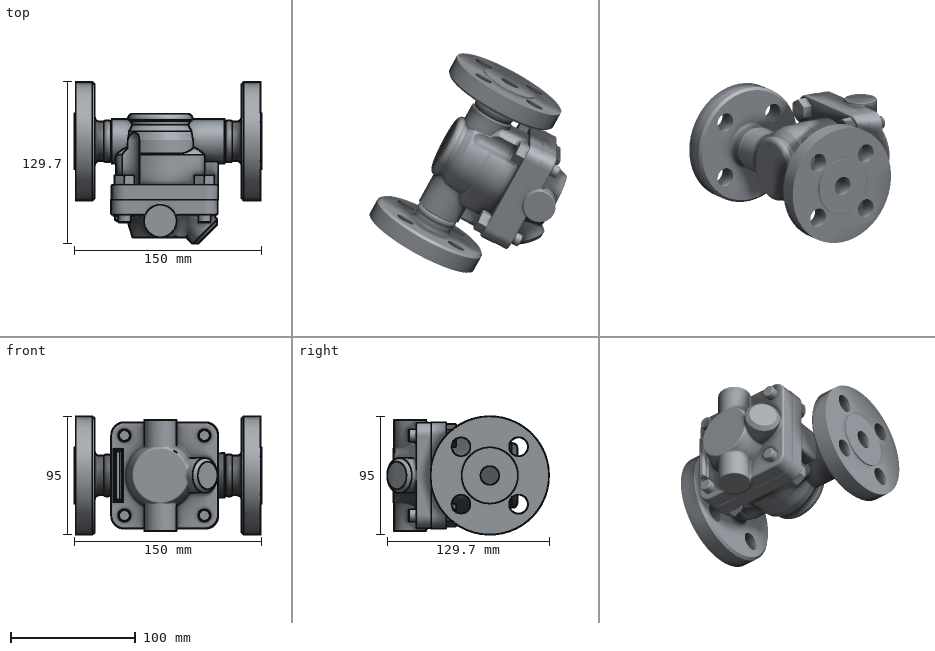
import math

import cadquery as cq


face_to_face = 150.0
flange_dia = 95.0
raised_face_dia = 45.0
raised_face_height = 1.0
flange_back_x = 58.6
flange_chamfer = 2.0
flange_bolt_circle = 65.0
flange_bolt_hole_dia = 15.0
flange_bolt_count = 4
neck_radius = 16.0
neck_fillet = 3.3
weld_start_x = 51.5
weld_end_x = 46.0
weld_crown = 1.0
pipe_radius = 18.0
pipe_end_x = 45.0
bore_dia = 15.0
bore_depth = 30.0

axis_x = -6.25
cap_top_y = 22.2
cap_radius = 26.0
cap_rounding = 4.4
cap_bottom_y = 17.4
waist_radius = 25.4
waist_top_y = 16.0
waist_bottom_y = 13.4
barrel_mid_radius = 30.0
barrel_mid_y = 7.9
barrel_radius = 31.8
barrel_bottom_y = 1.1
shoulder_y = -4.6
shoulder_drop = 6.0
shoulder_width = 5.0
chest_radius = 32.5
chest_half_width = 35.6
chest_corner_radius = 10.0
chest_flat_half_height = 12.0

square_size = 85.5
cover_height = 84.8
square_corner = 10.5
body_flange_x = -2.6
cover_x = -3.0
body_flange_top_y = -34.8
joint_y = -46.9
cover_front_y = -58.9
body_edge_fillet = 1.2
cover_edge_fillet = 1.5
bolt_spacing = 64.0
bolt_dia = 10.0
bolt_tip_y = -65.2
bolt_tip_chamfer = 0.7
bolt_head_flats = 16.0
bolt_head_top_y = -27.0
bolt_head_chamfer = 0.7

groove_radius = 8.0
groove_x = -30.9
groove_z = 26.2
groove_top_y = 9.4

lug_half_height = 14.0
lug_top_y = -16.5
lug_corner = 3.3
lug_top_fillet = 1.0

bonnet_front_y = -77.1
bonnet_front_radius = 22.3
bonnet_base_radius = 28.2
boss_radius = 13.0
boss_y = -63.8
boss_height = 89.2
boss_edge_fillet = 0.7
strainer_radius = 14.0
strainer_tip_radius = 11.0
strainer_tip_x = 31.6
strainer_tip_y = -74.43
strainer_length = 30.0
root_fillet = 1.4
select_margin = 0.3
rib_x = -40.0
rib_width = 5.4
rib_length = 40.5
rib_front_y = -64.0
rib_chamfer = 1.3
rib_foot_width = 8.2
rib_foot_length = 42.5
rib_foot_front_y = -60.4


def y_plane(x, y, z=0.0):
    """Sketch plane at height y: local X is part X, local Y is part Z, normal is -Y."""
    return cq.Workplane("XZ", origin=(x, y, z))


def pipe_end():
    """One half of the pipe run with its weld bead and flange, on the +X side."""
    flange_radius = flange_dia / 2
    face_x = face_to_face / 2
    seat_x = face_x - raised_face_height
    diagonal = neck_fillet * (1 - math.sqrt(0.5))
    half = (
        cq.Workplane("XY")
        .moveTo(0, 0)
        .lineTo(0, pipe_radius)
        .lineTo(pipe_end_x, pipe_radius)
        .lineTo(weld_end_x, neck_radius)
        .threePointArc(
            ((weld_start_x + weld_end_x) / 2, neck_radius + weld_crown),
            (weld_start_x, neck_radius),
        )
        .lineTo(flange_back_x - neck_fillet, neck_radius)
        .threePointArc(
            (flange_back_x - diagonal, neck_radius + diagonal),
            (flange_back_x, neck_radius + neck_fillet),
        )
        .lineTo(flange_back_x, flange_radius - flange_chamfer)
        .lineTo(flange_back_x + flange_chamfer, flange_radius)
        .lineTo(seat_x, flange_radius)
        .lineTo(seat_x, raised_face_dia / 2)
        .lineTo(face_x, raised_face_dia / 2)
        .lineTo(face_x, 0)
        .close()
        .revolve(360, (0, 0, 0), (1, 0, 0))
    )
    holes = (
        cq.Workplane("YZ", origin=(flange_back_x, 0, 0))
        .polarArray(flange_bolt_circle / 2, 180 / flange_bolt_count, 360, flange_bolt_count)
        .circle(flange_bolt_hole_dia / 2)
        .extrude(face_x - flange_back_x)
    )
    return half.cut(holes)


def bore():
    """Blind bore entering from the +X end."""
    start = face_to_face / 2 - bore_depth
    return cq.Workplane("YZ", origin=(start, 0, 0)).circle(bore_dia / 2).extrude(bore_depth)


def barrel():
    """Turned upper body: rounded cap, waist and widening barrel."""
    bulge = cap_rounding * math.sqrt(0.5)
    arc_x = cap_radius - cap_rounding
    arc_y = cap_top_y - cap_rounding
    return (
        cq.Workplane("XY", origin=(axis_x, 0, 0))
        .moveTo(0, cap_top_y)
        .lineTo(arc_x, cap_top_y)
        .threePointArc((arc_x + bulge, arc_y + bulge), (cap_radius, arc_y))
        .lineTo(cap_radius, cap_bottom_y)
        .lineTo(waist_radius, waist_top_y)
        .lineTo(waist_radius, waist_bottom_y)
        .lineTo(barrel_mid_radius, barrel_mid_y)
        .lineTo(barrel_radius, barrel_bottom_y)
        .lineTo(barrel_radius, body_flange_top_y)
        .lineTo(0, body_flange_top_y)
        .close()
        .revolve(360, (0, 0, 0), (0, 1, 0))
    )


def chest():
    """Lower body: a round section with flat sides, joined by tangent lines and corner arcs."""
    corner_x = chest_half_width - chest_corner_radius
    corner_z = chest_flat_half_height
    reach = math.hypot(corner_x, corner_z)
    tilt = math.asin((chest_radius - chest_corner_radius) / reach) - math.atan2(corner_z, corner_x)
    nx = math.sin(tilt)
    nz = math.cos(tilt)
    mid = (math.pi / 2 - tilt) / 2
    arc_mid_x = corner_x + chest_corner_radius * math.cos(mid)
    arc_mid_z = corner_z + chest_corner_radius * math.sin(mid)
    arc_end_x = corner_x + chest_corner_radius * nx
    arc_end_z = corner_z + chest_corner_radius * nz
    crown_x = chest_radius * nx
    crown_z = chest_radius * nz
    section = (
        y_plane(axis_x, shoulder_y)
        .moveTo(chest_half_width, -corner_z)
        .lineTo(chest_half_width, corner_z)
        .threePointArc((arc_mid_x, arc_mid_z), (arc_end_x, arc_end_z))
        .lineTo(crown_x, crown_z)
        .threePointArc((0, chest_radius), (-crown_x, crown_z))
        .lineTo(-arc_end_x, arc_end_z)
        .threePointArc((-arc_mid_x, arc_mid_z), (-chest_half_width, corner_z))
        .lineTo(-chest_half_width, -corner_z)
        .threePointArc((-arc_mid_x, -arc_mid_z), (-arc_end_x, -arc_end_z))
        .lineTo(-crown_x, -crown_z)
        .threePointArc((0, -chest_radius), (crown_x, -crown_z))
        .lineTo(arc_end_x, -arc_end_z)
        .threePointArc((arc_mid_x, -arc_mid_z), (chest_half_width, -corner_z))
        .close()
    )
    return (
        section.extrude(shoulder_y - body_flange_top_y)
        .faces(">Y")
        .chamfer(shoulder_drop, shoulder_width)
    )


def bolt_groove(side):
    """Round-ended groove that clears a bolt on the inlet side; side is +1 or -1 in Z."""
    length = groove_top_y - groove_radius - body_flange_top_y
    cutter = y_plane(groove_x, groove_top_y - groove_radius, side * groove_z)
    return (
        cutter.circle(groove_radius)
        .extrude(length)
        .union(cutter.sphere(groove_radius))
    )


def outlet_lug():
    """Block filling the space between the body flange and the outlet pipe."""
    right_x = body_flange_x + square_size / 2
    length_x = right_x - axis_x
    return (
        y_plane(right_x - length_x / 2, lug_top_y)
        .rect(length_x, 2 * lug_half_height)
        .extrude(lug_top_y - body_flange_top_y)
        .edges("|Y and >X")
        .fillet(lug_corner)
        .faces(">Y")
        .edges()
        .fillet(lug_top_fillet)
    )


def square_plate(center_x, height, back_y, front_y):
    """Rounded plate of the given Z height between two Y levels."""
    return (
        y_plane(center_x, back_y)
        .rect(square_size, height)
        .extrude(back_y - front_y)
        .edges("|Y")
        .fillet(square_corner)
    )


def bolt(x, z):
    """Hexagon-head bolt with the head on the body side and the tip through the cover."""
    head_corner_dia = bolt_head_flats / math.cos(math.pi / 6)
    head_height = bolt_head_top_y - body_flange_top_y
    head = y_plane(x, bolt_head_top_y, z).transformed(rotate=(0, 0, 90))
    head = head.polygon(6, head_corner_dia).extrude(head_height)
    crown = (
        y_plane(x, bolt_head_top_y, z)
        .circle(head_corner_dia / 2)
        .extrude(head_height)
        .faces(">Y")
        .chamfer(bolt_head_chamfer)
    )
    shank = (
        y_plane(x, body_flange_top_y, z)
        .circle(bolt_dia / 2)
        .extrude(body_flange_top_y - bolt_tip_y)
        .faces("<Y")
        .chamfer(bolt_tip_chamfer)
    )
    return head.intersect(crown).union(shank)


def bonnet():
    """Conical dome on the front of the cover."""
    return (
        cq.Workplane("XY", origin=(axis_x, 0, 0))
        .moveTo(0, joint_y)
        .lineTo(bonnet_base_radius, joint_y)
        .lineTo(bonnet_base_radius, cover_front_y)
        .lineTo(bonnet_front_radius, bonnet_front_y)
        .lineTo(0, bonnet_front_y)
        .close()
        .revolve(360, (0, 0, 0), (0, 1, 0))
    )


def vertical_bosses():
    """Round boss crossing the cover from top to bottom."""
    return (
        cq.Workplane("XY", origin=(axis_x, boss_y, -boss_height / 2))
        .circle(boss_radius)
        .extrude(boss_height)
    )


def strainer_boss():
    """Boss at 45 degrees between +X and -Y with a chamfered tip."""
    plane = cq.Plane(
        origin=(strainer_tip_x, strainer_tip_y, 0), xDir=(0, 0, 1), normal=(-1, 1, 0)
    )
    return (
        cq.Workplane(plane)
        .circle(strainer_radius)
        .extrude(strainer_length)
        .faces(cq.selectors.DirectionMinMaxSelector(cq.Vector(1, -1, 0)))
        .chamfer(strainer_radius - strainer_tip_radius)
    )


def side_rib():
    """Upright rib on the cover with a wider foot."""
    foot = (
        y_plane(rib_x, cover_front_y)
        .rect(rib_foot_width, rib_foot_length)
        .extrude(cover_front_y - rib_foot_front_y)
        .faces("<Y")
        .chamfer(rib_chamfer)
    )
    rib = (
        y_plane(rib_x, cover_front_y)
        .rect(rib_width, rib_length)
        .extrude(cover_front_y - rib_front_y)
        .faces("<Y")
        .chamfer(rib_chamfer)
    )
    return foot.union(rib)


def bonnet_with_strainer(plate):
    """Bonnet and strainer boss joined to the plate, with their edges rounded."""
    joined = plate.union(bonnet()).union(strainer_boss())
    reach = bonnet_base_radius + select_margin
    rounded_edges = cq.selectors.BoxSelector(
        (axis_x - reach, bonnet_front_y - select_margin, -reach),
        (cover_x + square_size / 2, cover_front_y + select_margin, reach),
        boundingbox=True,
    )
    return joined.edges(rounded_edges).fillet(root_fillet)


def add_vertical_bosses(joined):
    """Add the vertical bosses and round their roots on the plate and the bonnet."""
    joined = joined.union(vertical_bosses())
    reach_x = boss_radius + select_margin
    root_back_y = boss_y + boss_radius + select_margin
    root_z = cover_height / 2 + select_margin
    for inner_z, outer_z in ((0, root_z), (-root_z, 0)):
        root_edges = cq.selectors.BoxSelector(
            (axis_x - reach_x, bonnet_front_y, inner_z),
            (axis_x + reach_x, root_back_y, outer_z),
            boundingbox=True,
        )
        joined = joined.edges(root_edges).fillet(root_fillet)
    return joined.faces("<Z or >Z").edges().fillet(boss_edge_fillet)


def cover():
    """Cover plate with bonnet, strainer boss, vertical bosses and side rib."""
    plate = (
        square_plate(cover_x, cover_height, joint_y, cover_front_y)
        .faces("<Y")
        .edges()
        .fillet(cover_edge_fillet)
    )
    return add_vertical_bosses(bonnet_with_strainer(plate)).union(side_rib())


def body():
    """Body with its square flange, pipe run and flanged ends."""
    flange = (
        square_plate(body_flange_x, square_size, body_flange_top_y, joint_y)
        .faces(">Y")
        .edges()
        .fillet(body_edge_fillet)
    )
    shell = barrel().union(chest())
    for side in (1, -1):
        shell = shell.cut(bolt_groove(side))
    outlet = pipe_end()
    inlet = outlet.mirror("YZ")
    outlet_bore = bore()
    return (
        shell.union(flange)
        .union(outlet_lug())
        .union(outlet)
        .union(inlet)
        .cut(outlet_bore)
        .cut(outlet_bore.mirror("YZ"))
    )


result = body().union(cover())
for bolt_side_x in (-1, 1):
    for bolt_side_z in (-1, 1):
        result = result.union(
            bolt(cover_x + bolt_side_x * bolt_spacing / 2, bolt_side_z * bolt_spacing / 2)
        )